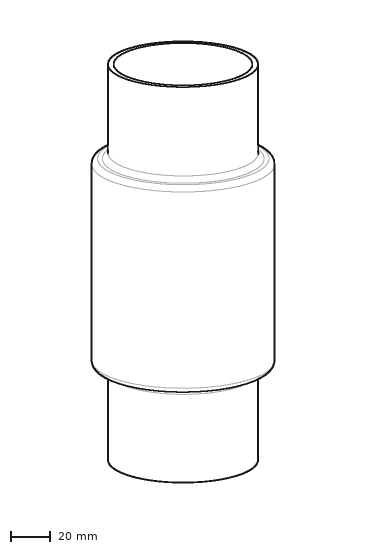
import cadquery as cq

total_length = 210.0
pipe_diameter = 76.0
bore_diameter = 70.1

sleeve_diameter = 92.6
sleeve_length = 110.0
shoulder_radius = 3.0
root_radius = 3.0

edge_tolerance = 0.2


def cylinder(diameter, length):
    """Cylinder along Z, centred on the origin."""
    return cq.Workplane("XY").workplane(offset=-length / 2).circle(diameter / 2).extrude(length)


def sleeve_end_edges(body, diameter):
    """Circular edges of the given diameter lying on the two sleeve end planes."""
    edges = body.edges("%CIRCLE")
    return edges.filter(
        lambda edge: abs(edge.radius() - diameter / 2) < edge_tolerance
        and abs(abs(edge.Center().z) - sleeve_length / 2) < edge_tolerance
    )


body = cylinder(pipe_diameter, total_length).union(cylinder(sleeve_diameter, sleeve_length))
body = sleeve_end_edges(body, sleeve_diameter).fillet(shoulder_radius)
body = sleeve_end_edges(body, pipe_diameter).fillet(root_radius)

result = body.cut(cylinder(bore_diameter, total_length))